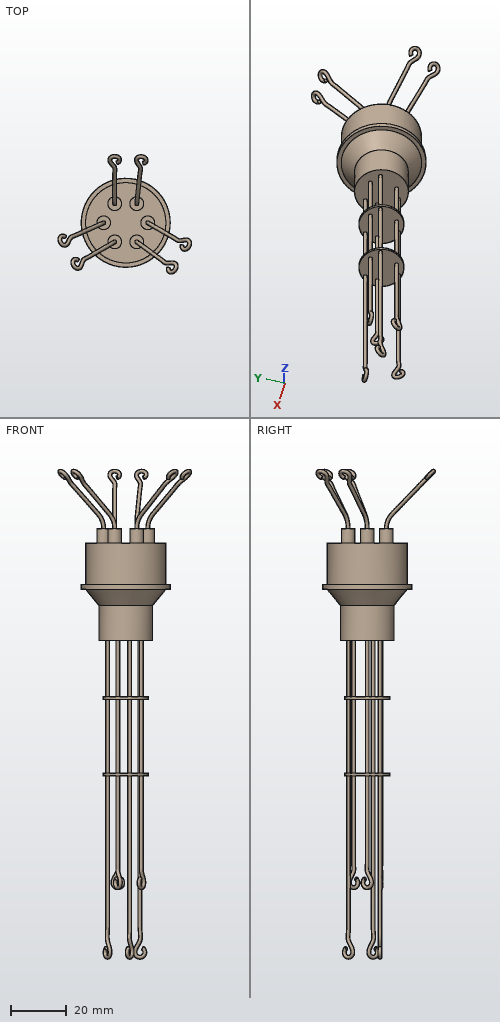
import cadquery as cq
import math

body_radius = 14.5
flange_radius = 16.0
neck_radius = 9.7
neck_bottom = 114.3
cone_bottom = 127.0
flange_bottom = 132.7
flange_top = 134.5
body_top = 149.2

sleeve_count = 6
sleeve_radius = 2.5
sleeve_height = 5.3
sleeve_circle_radius = 7.9

wire_radius = 0.7
loop_radius = 1.8
loop_sweep = 240
loop_step = 30
swing_length = 4.2
short_hook_length = 6.9
long_hook_length = 9.0

lead_slant = 44
lead_bend_radius = 7.4
lead_run = 12.8
lead_heading = 90
side_lean = 6

ring_count = 3
ring_step = 360 / ring_count
rod_heading = 180
long_rod_circle_radius = 6.9
long_rod_angle = 42
long_rod_end = wire_radius + loop_radius + long_hook_length
short_rod_circle_radius = 5.6
short_rod_angle = 120
short_rod_rise = 22.9
short_rod_end = long_rod_end + short_rod_rise

disc_radius = 8.0
disc_thickness = 1.0
disc_centers = (66.3, 93.7)


def polar(radius, angle, height=0.0):
    """Point at the given distance and angle from the Z axis."""
    turn = math.radians(angle)
    return cq.Vector(radius * math.cos(turn), radius * math.sin(turn), height)


def hook_edge(start, forward, sideways, length):
    """Hook curve: leaves start along forward, swings sideways and runs round an open loop."""
    center = start + forward * length
    points = [start, center - forward * swing_length]
    for angle in range(0, loop_sweep + 1, loop_step):
        turn = math.radians(angle)
        across = sideways * (loop_radius * math.cos(turn))
        along = forward * (loop_radius * math.sin(turn))
        points.append(center + across + along)
    last = math.radians(loop_sweep)
    end_tangent = forward * math.cos(last) - sideways * math.sin(last)
    return cq.Edge.makeSpline(points, tangents=[forward, end_tangent])


def wire_along(edges, start, direction):
    """Round wire swept along joined edges."""
    section = cq.Workplane(cq.Plane(origin=start.toTuple(), normal=direction.toTuple()))
    path = cq.Wire.assembleEdges(edges)
    return section.circle(wire_radius).sweep(cq.Workplane(path), transition="round").val()


def make_lead(sleeve_angle, heading):
    """Lead seated in a sleeve, bent towards heading and ending in a hook."""
    up = cq.Vector(0, 0, 1)
    outward = polar(1, heading)
    sideways = polar(1, heading + 90)
    slant = math.radians(lead_slant)
    forward = outward * math.sin(slant) + up * math.cos(slant)

    foot = polar(sleeve_circle_radius, sleeve_angle, body_top)
    bend_start = foot + up * sleeve_height
    bend_end = (
        bend_start
        + outward * (lead_bend_radius * (1 - math.cos(slant)))
        + up * (lead_bend_radius * math.sin(slant))
    )
    run_end = bend_end + forward * lead_run
    edges = [
        cq.Edge.makeLine(foot, bend_start),
        cq.Edge.makeTangentArc(bend_start, up, bend_end),
        cq.Edge.makeLine(bend_end, run_end),
        hook_edge(run_end, forward, sideways, short_hook_length),
    ]
    return wire_along(edges, foot, up)


def make_rod(circle_radius, angle, end_height, heading, hook_length):
    """Straight rod from the neck down to end_height, then a hook swinging towards heading."""
    down = cq.Vector(0, 0, -1)
    top = polar(circle_radius, angle, neck_bottom)
    end = polar(circle_radius, angle, end_height)
    edges = [
        cq.Edge.makeLine(top, end),
        hook_edge(end, down, polar(1, heading), hook_length),
    ]
    return wire_along(edges, top, down)


def make_shell():
    """Neck, cone, flange and cylindrical body, turned as one profile."""
    profile = [
        (0, neck_bottom),
        (neck_radius, neck_bottom),
        (neck_radius, cone_bottom),
        (body_radius, flange_bottom),
        (flange_radius, flange_bottom),
        (flange_radius, flange_top),
        (body_radius, flange_top),
        (body_radius, body_top),
        (0, body_top),
    ]
    return cq.Workplane("XZ").polyline(profile).close().revolve(360, (0, 0), (0, 1))


def make_housing():
    """Shell with its sleeves, hanging rods and spacer discs as one solid."""
    sleeves = (
        cq.Workplane("XY", origin=(0, 0, body_top))
        .polarArray(sleeve_circle_radius, 0, 360, sleeve_count)
        .circle(sleeve_radius)
        .circle(wire_radius)
        .extrude(sleeve_height)
    )
    housing = make_shell().union(sleeves)
    for index in range(ring_count):
        turn = index * ring_step
        heading = rod_heading + turn
        long_angle = long_rod_angle + turn
        short_angle = short_rod_angle + turn
        long_rod = make_rod(long_rod_circle_radius, long_angle, long_rod_end, heading, long_hook_length)
        short_rod = make_rod(short_rod_circle_radius, short_angle, short_rod_end, heading, short_hook_length)
        housing = housing.union(long_rod).union(short_rod)
    for center in disc_centers:
        disc = (
            cq.Workplane("XY", origin=(0, 0, center - disc_thickness / 2))
            .circle(disc_radius)
            .extrude(disc_thickness)
        )
        housing = housing.union(disc)
    return housing


housing = make_housing()

pair_half_angle = 180 / sleeve_count
leads = []
for index in range(ring_count):
    heading = lead_heading + index * ring_step
    leads.append(make_lead(heading + pair_half_angle, heading))
    leads.append(make_lead(heading - pair_half_angle, heading - side_lean))

result = cq.Compound.makeCompound([housing.val(), *leads])